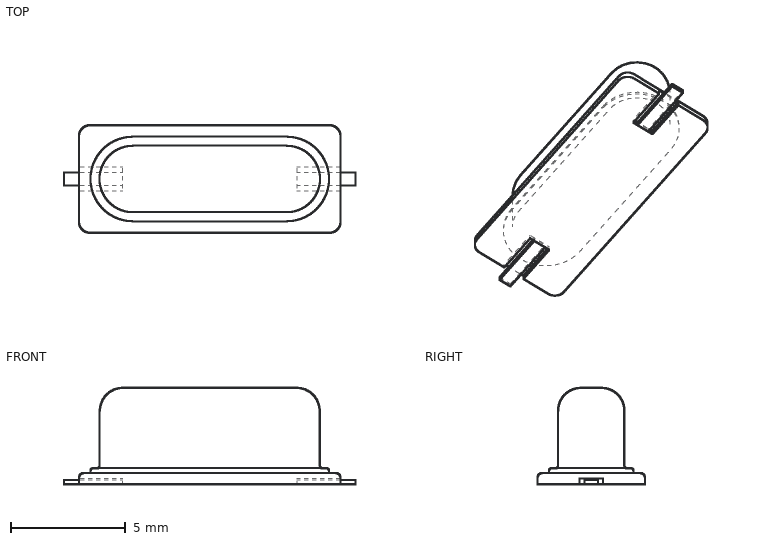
import cadquery as cq

BASE_LENGTH = 11.4
BASE_WIDTH = 4.7
BASE_HEIGHT = 0.5
BASE_CORNER_RADIUS = 0.5
BASE_TOP_FILLET = 0.23

OVERALL_LENGTH = 12.7
LEAD_WIDTH = 0.58
LEAD_THICKNESS = 0.19
SLOT_WIDTH = 1.03
SLOT_HEIGHT = 0.24
SLOT_DEPTH = 1.9

OVERALL_HEIGHT = 4.2
CAN_LENGTH = 9.6
CAN_WIDTH = 2.9
CAN_TOP_FILLET = 1.0
FLANGE_OVERHANG = 0.4
FLANGE_THICKNESS = 0.2
FLANGE_TOP_FILLET = 0.1
CAN_FOOT_FILLET = 0.1

FLANGE_LENGTH = CAN_LENGTH + 2 * FLANGE_OVERHANG
FLANGE_WIDTH = CAN_WIDTH + 2 * FLANGE_OVERHANG
FLANGE_TOP = BASE_HEIGHT + FLANGE_THICKNESS
SLOT_END_X = BASE_LENGTH / 2 - SLOT_DEPTH
LEAD_LENGTH = OVERALL_LENGTH / 2 - SLOT_END_X

BOTTOM_UP = (True, True, False)
SIDES = (-1, 1)


def make_base():
    """Rounded plate with a blind slot for a lead in each end."""
    base = (
        cq.Workplane("XY")
        .box(BASE_LENGTH, BASE_WIDTH, BASE_HEIGHT, centered=BOTTOM_UP)
        .edges("|Z").fillet(BASE_CORNER_RADIUS)
        .faces(">Z").edges().fillet(BASE_TOP_FILLET)
    )
    for side in SIDES:
        slot = (
            cq.Workplane("XY")
            .box(SLOT_DEPTH, SLOT_WIDTH, SLOT_HEIGHT, centered=BOTTOM_UP)
            .translate((side * (SLOT_END_X + SLOT_DEPTH / 2), 0, 0))
        )
        base = base.cut(slot)
    return base


def make_can():
    """Flange and domed cover in one piece, resting on the base."""
    flange = (
        cq.Workplane("XY", origin=(0, 0, BASE_HEIGHT))
        .slot2D(FLANGE_LENGTH, FLANGE_WIDTH)
        .extrude(FLANGE_THICKNESS)
        .faces(">Z").edges().fillet(FLANGE_TOP_FILLET)
    )
    cover = (
        cq.Workplane("XY", origin=(0, 0, BASE_HEIGHT))
        .slot2D(CAN_LENGTH, CAN_WIDTH)
        .extrude(OVERALL_HEIGHT - BASE_HEIGHT)
        .faces(">Z").edges().fillet(CAN_TOP_FILLET)
    )
    reach = CAN_FOOT_FILLET
    foot_edges = cq.selectors.BoxSelector(
        (-CAN_LENGTH / 2 - reach, -CAN_WIDTH / 2 - reach, FLANGE_TOP - reach / 4),
        (CAN_LENGTH / 2 + reach, CAN_WIDTH / 2 + reach, FLANGE_TOP + reach / 4),
        boundingbox=True,
    )
    return flange.union(cover).edges(foot_edges).fillet(CAN_FOOT_FILLET)


def make_lead(side):
    """Flat lead running from the inner slot wall out past the base."""
    return (
        cq.Workplane("XY")
        .box(LEAD_LENGTH, LEAD_WIDTH, LEAD_THICKNESS, centered=BOTTOM_UP)
        .translate((side * (SLOT_END_X + LEAD_LENGTH / 2), 0, 0))
    )


base = make_base()
can = make_can()
leads = [make_lead(side) for side in SIDES]

result = cq.Compound.makeCompound([base.solids().val(), can.solids().val(), *[lead.val() for lead in leads]])